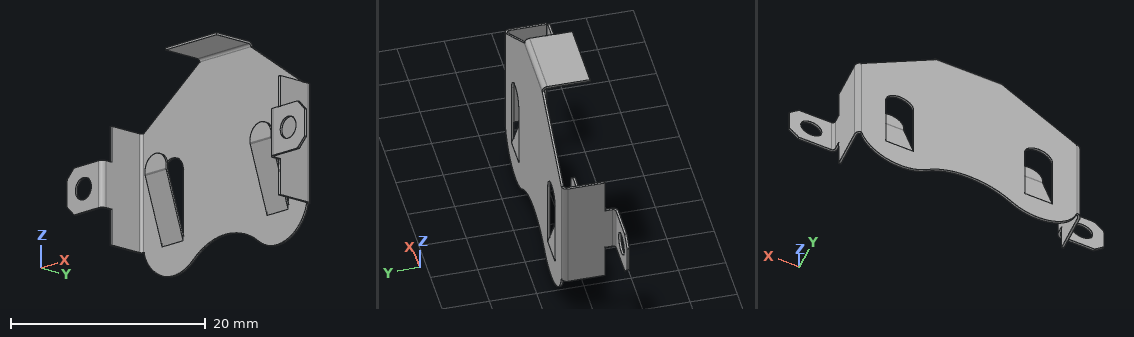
import cadquery as cq
import math


thickness = 0.254
bend_outer = 0.55
bend_inner = bend_outer - thickness

overall_width = 35.51
overall_depth = 5.84
overall_height = 22.61

wall_span = 25.4
wall_height = 12.75
wall_depth = 4.49
wall_outer_x = wall_span / 2
wall_inner_x = wall_outer_x - thickness
wall_top_z = wall_height / 2
wall_bottom_z = -wall_top_z
wall_bend_x = wall_outer_x - bend_outer

ear_height = 5.05
ear_corner = 1.08
hole_diameter = 2.35
hole_edge_distance = 2.48
ear_end_x = overall_width / 2
ear_bend_x = wall_inner_x + bend_outer
hole_x = ear_end_x - hole_edge_distance

lip_width = 7.65
lip_depth = 5.1
top_z = 12.79

bottom_z = top_z - overall_height
lobe_x = 7.72
relief_top_z = -7.04

tongue_x = 7.83
tongue_width = 3.13
tongue_reach = 2.67
tongue_slope_height = 7.22
tongue_tip_height = 1.98
tongue_bend_inner = 0.1
tongue_bend_outer = tongue_bend_inner + thickness


def make_back_plate():
    rise = wall_bottom_z - bottom_z
    lobe_radius = ((wall_bend_x - lobe_x) ** 2 + rise**2) / (2 * rise)
    lobe_z = bottom_z + lobe_radius

    drop = lobe_z - relief_top_z
    relief_radius = (lobe_x**2 + drop**2 - lobe_radius**2) / (2 * (lobe_radius - drop))
    relief_z = relief_top_z - relief_radius
    blend = lobe_radius / (lobe_radius + relief_radius)
    tangent_x = lobe_x * (1 - blend)
    tangent_z = lobe_z + blend * (relief_z - lobe_z)

    lip_bend_z = top_z - bend_outer
    outline = (
        cq.Workplane("XZ")
        .moveTo(-lip_width / 2, lip_bend_z)
        .lineTo(lip_width / 2, lip_bend_z)
        .lineTo(wall_bend_x, wall_top_z)
        .lineTo(wall_bend_x, wall_bottom_z)
        .threePointArc((lobe_x, bottom_z), (tangent_x, tangent_z))
        .threePointArc((0, relief_top_z), (-tangent_x, tangent_z))
        .threePointArc((-lobe_x, bottom_z), (-wall_bend_x, wall_bottom_z))
        .lineTo(-wall_bend_x, wall_top_z)
        .close()
    )
    return outline.extrude(thickness)


def make_top_lip():
    bend_z = top_z - bend_outer
    profile = (
        cq.Workplane("YZ")
        .moveTo(0, bend_z)
        .radiusArc((-bend_outer, top_z), -bend_outer)
        .lineTo(-lip_depth, top_z)
        .lineTo(-lip_depth, top_z - thickness)
        .lineTo(-bend_outer, top_z - thickness)
        .radiusArc((-thickness, bend_z), bend_inner)
        .close()
    )
    return profile.extrude(lip_width / 2, both=True)


def make_right_side():
    """Side wall with its outward mounting ear, on the +X side."""
    ear_rear_y = thickness - overall_depth
    ear_bend_y = bend_outer - overall_depth
    profile = (
        cq.Workplane("XY")
        .moveTo(wall_bend_x, 0)
        .radiusArc((wall_outer_x, -bend_outer), bend_outer)
        .lineTo(wall_outer_x, ear_bend_y)
        .radiusArc((ear_bend_x, ear_rear_y), -bend_inner)
        .lineTo(ear_end_x, ear_rear_y)
        .lineTo(ear_end_x, -overall_depth)
        .lineTo(ear_bend_x, -overall_depth)
        .radiusArc((wall_inner_x, ear_bend_y), bend_outer)
        .lineTo(wall_inner_x, -bend_outer)
        .radiusArc((wall_bend_x, -thickness), -bend_inner)
        .close()
    )
    strip = profile.extrude(wall_height / 2, both=True)

    wall_zone = cq.Workplane("XZ").rect(overall_width, wall_height).extrude(wall_depth)
    ear_zone = (
        cq.Workplane("XZ")
        .rect(overall_width, ear_height)
        .extrude(overall_depth)
        .edges("|Y")
        .chamfer(ear_corner)
    )
    hole = cq.Workplane("XZ").center(hole_x, 0).circle(hole_diameter / 2).extrude(overall_depth)
    return strip.intersect(wall_zone.union(ear_zone)).cut(hole)


def tongue_outline(center_x):
    """Round-topped tongue silhouette, extruded from the rear face through the full depth."""
    half_width = tongue_width / 2
    tip_z = wall_bottom_z + tongue_slope_height + tongue_tip_height
    arc_z = tip_z - half_width
    return (
        cq.Workplane("XZ")
        .moveTo(center_x - half_width, wall_bottom_z)
        .lineTo(center_x - half_width, arc_z)
        .threePointArc((center_x, tip_z), (center_x + half_width, arc_z))
        .lineTo(center_x + half_width, wall_bottom_z)
        .close()
        .extrude(overall_depth)
    )


def make_tongue(center_x):
    """Tongue leaning forward from the slot's lower edge, with an upright tip."""
    kink_z = wall_bottom_z + tongue_slope_height
    tip_z = kink_z + tongue_tip_height
    lean = math.atan2(tongue_reach - thickness, tongue_slope_height)
    miter = thickness * math.tan(lean / 2)
    side_profile = (
        cq.Workplane("YZ", origin=(center_x, 0, 0))
        .moveTo(0, wall_bottom_z)
        .lineTo(-thickness, wall_bottom_z)
        .lineTo(-tongue_reach, kink_z)
        .lineTo(-tongue_reach, tip_z)
        .lineTo(thickness - tongue_reach, tip_z)
        .lineTo(thickness - tongue_reach, kink_z + miter)
        .lineTo(0, wall_bottom_z + miter)
        .close()
    )
    sharp_strip = side_profile.extrude(tongue_width / 2, both=True)
    front_bend = cq.NearestToPointSelector((center_x, -tongue_reach, kink_z))
    rear_bend = cq.NearestToPointSelector((center_x, thickness - tongue_reach, kink_z + miter))
    bent_strip = (
        sharp_strip.edges("|X").edges(front_bend)
        .fillet(tongue_bend_outer)
        .edges("|X").edges(rear_bend)
        .fillet(tongue_bend_inner)
    )
    return bent_strip.intersect(tongue_outline(center_x))


back_plate = make_back_plate()
right_side = make_right_side()
result = back_plate.union(make_top_lip()).union(right_side).union(right_side.mirror("YZ"))

for tongue_center in (-tongue_x, tongue_x):
    slot_cutter = tongue_outline(tongue_center).intersect(back_plate)
    result = result.cut(slot_cutter).union(make_tongue(tongue_center))